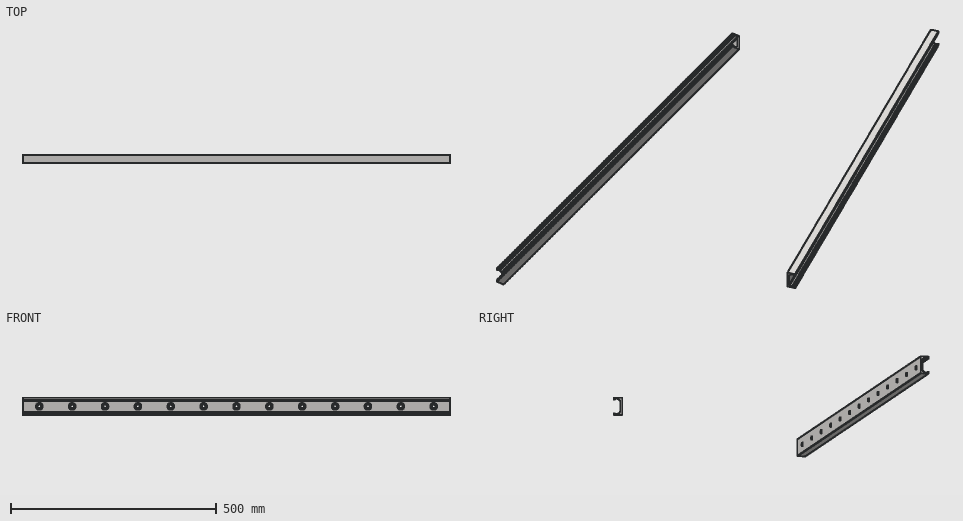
import cadquery as cq
import math

length = 1040.0
depth = 21.0
height = 43.0

web_thickness = 5.5
web_flat_height = 25.1
back_chamfer = 1.2
mouth_chamfer = 1.0

shoulder_height = 2.9
shoulder_angle = 28.0

lip_width = 2.1
lip_thickness = 4.8
groove_floor_thickness = 3.0
groove_floor_start = 5.5
groove_floor_width = 3.6

hole_pitch = 80.0
hole_count = 13
hole_diameter = 8.5
countersink_diameter = 17.0
countersink_angle = 90.0

back_y = depth / 2
mouth_y = -depth / 2
web_y = back_y - web_thickness


def upper_half_outline():
    """(Y, Z) corners of the upper half section, from the back face round to the web face."""
    top_z = height / 2
    lip_z = top_z - lip_thickness
    groove_z = top_z - groove_floor_thickness
    groove_start_y = mouth_y + groove_floor_start
    web_edge_z = web_flat_height / 2
    shoulder_run = shoulder_height * math.tan(math.radians(shoulder_angle))
    return [
        (back_y, top_z - back_chamfer),
        (back_y - back_chamfer, top_z),
        (mouth_y + mouth_chamfer, top_z),
        (mouth_y, top_z - mouth_chamfer),
        (mouth_y, lip_z),
        (mouth_y + lip_width, lip_z),
        (groove_start_y, groove_z),
        (groove_start_y + groove_floor_width, groove_z),
        (web_y - shoulder_run, web_edge_z + shoulder_height),
        (web_y, web_edge_z),
    ]


def make_channel():
    """C-channel along X with its web on the +Y side and its mouth facing -Y."""
    upper = upper_half_outline()
    lower = [(y, -z) for y, z in reversed(upper)]
    section = cq.Workplane("YZ", origin=(-length / 2, 0, 0)).polyline(upper + lower).close()
    return section.extrude(length)


def cut_mounting_holes(channel):
    """Row of through holes along the middle of the web, countersunk from the mouth side."""
    web_face = cq.Workplane("XZ", origin=(0, web_y, 0))
    return (
        channel.copyWorkplane(web_face)
        .rarray(hole_pitch, 1, hole_count, 1)
        .cskHole(hole_diameter, countersink_diameter, countersink_angle)
    )


result = cut_mounting_holes(make_channel())